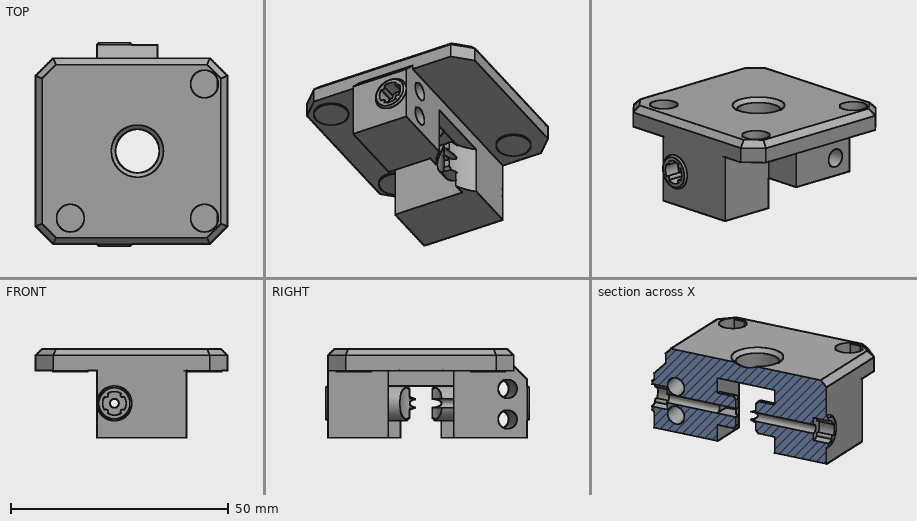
import cadquery as cq
import math

total_length = 46.9
total_height = 20.5

plate_width = 44.2
plate_depth = 42.8
plate_thickness = 4.95
plate_left = -23.45
corner_cut = 4.1
edge_chamfer = 1.5

center_hole_diameter = 10.0
countersink_diameter = 12.0
countersink_half_angle = 45.0

magnet_offset = 15.45
magnet_diameter = 6.4
magnet_depth = 3.0
magnet_flat_offset = 2.9
magnet_flat_start = 0.25
pad_diameter = 8.0
pad_height = 0.35

screw_projection = 0.5
block_left = -9.35
front_arm_right = 10.8
back_arm_right = 4.65
end_bulge = 0.55
end_bulge_run = 0.1
slope_foot_height = 13.5
slot_half_width = 7.55

pocket_half_chord = 8.75
pocket_height = 11.95
window_half_width = 4.65

screw_diameter = 8.0
screw_height = 7.95
screw_edge_inset = 4.05
head_chamfer = 0.4
tip_gap = 2.6
tip_chamfer = 0.7
bore_diameter = 2.0
nozzle_base_diameter = 3.0
nozzle_gap = 1.25
socket_diameter = 5.45
socket_depth = 4.0
socket_ridges = 4
ridge_radius = 0.5
first_ridge_angle = 45.0

cross_hole_diameter = 4.25
cross_hole_y = 18.0
cross_hole_heights = (4.25, 11.3)
cross_hole_tilt = 8.0

plate_bottom = total_height - plate_thickness
plate_front = -plate_depth / 2
plate_back = plate_depth / 2
plate_middle_x = plate_left + plate_width / 2
block_front = plate_front
block_back = total_length + plate_front - 2 * screw_projection
screw_x = block_left + screw_edge_inset
pocket_radius = (pocket_half_chord**2 + screw_edge_inset**2) / (2 * screw_edge_inset)
pocket_center_x = screw_x - pocket_radius
slot_left = pocket_center_x + math.sqrt(pocket_radius**2 - window_half_width**2)
cut_overrun = 0.45


def box(x_range, y_range, z_range):
    """Box between the given limits."""
    size = [high - low for low, high in (x_range, y_range, z_range)]
    corner = (x_range[0], y_range[0], z_range[0])
    return cq.Workplane("XY").box(*size, centered=False).translate(corner)


def upright_cylinder(x, y, diameter, z_low, z_high):
    """Cylinder along Z."""
    return cq.Workplane("XY", origin=(x, y, z_low)).circle(diameter / 2).extrude(z_high - z_low)


def screw_cylinder(diameter, y_start, y_end):
    """Cylinder along the common axis of the two screws."""
    plane = cq.Workplane("XZ", origin=(screw_x, y_start, screw_height))
    return plane.circle(diameter / 2).extrude(y_start - y_end)


def make_plate():
    """Square plate with cut corners and a chamfered upper rim."""
    plate = cq.Workplane("XY", origin=(plate_middle_x, 0, plate_bottom))
    plate = plate.rect(plate_width, plate_depth).extrude(plate_thickness)
    return plate.edges("|Z").chamfer(corner_cut).faces(">Z").chamfer(edge_chamfer)


def make_block():
    """Block with a wide front arm and a narrower back arm that reaches past the plate."""
    front_outline = [
        (block_left, block_front),
        (front_arm_right, block_front),
        (front_arm_right + end_bulge, block_front + end_bulge_run),
        (front_arm_right + end_bulge, 0),
        (block_left, 0),
    ]
    front_arm = cq.Workplane("XY").polyline(front_outline).close().extrude(plate_bottom)

    back_profile = [
        (0, 0),
        (block_back, 0),
        (block_back, slope_foot_height),
        (plate_back, slope_foot_height + block_back - plate_back),
        (plate_back, plate_bottom),
        (0, plate_bottom),
    ]
    back_arm = cq.Workplane("YZ", origin=(block_left, 0, 0)).polyline(back_profile).close()
    return front_arm.union(back_arm.extrude(back_arm_right - block_left))


def cut_slot(block):
    """Separate the two arms by a slot that opens towards +X."""
    slot = box(
        (slot_left, front_arm_right + end_bulge + cut_overrun),
        (-slot_half_width, slot_half_width),
        (-cut_overrun, plate_bottom),
    )
    return block.cut(slot)


def make_screw(end_y, tip_y):
    """Screw from a raised chamfered end face outside the block to a chamfered tip in the slot."""
    inward = math.copysign(1, tip_y - end_y)
    radius = screw_diameter / 2
    profile = [
        (0, end_y),
        (radius - head_chamfer, end_y),
        (radius, end_y + inward * screw_projection),
        (radius, tip_y - inward * tip_chamfer),
        (radius - tip_chamfer, tip_y),
        (0, tip_y),
    ]
    screw = cq.Workplane("XY").polyline(profile).close().revolve(360, (0, 0, 0), (0, 1, 0))
    return screw.translate((screw_x, 0, screw_height))


def make_socket(end_y, floor_y):
    """Round drive socket with ridges along its wall."""
    socket = screw_cylinder(socket_diameter, end_y, floor_y)
    for index in range(socket_ridges):
        angle = math.radians(first_ridge_angle + index * 360 / socket_ridges)
        ridge = screw_cylinder(2 * ridge_radius, end_y, floor_y).translate((
            socket_diameter / 2 * math.cos(angle),
            0,
            socket_diameter / 2 * math.sin(angle),
        ))
        socket = socket.cut(ridge)
    return socket


def make_nozzle():
    """Cone on the tip of the front screw that narrows to the bore."""
    length = tip_gap - nozzle_gap
    taper = math.degrees(math.atan((nozzle_base_diameter - bore_diameter) / 2 / length))
    base = cq.Workplane("XZ", origin=(screw_x, -tip_gap, screw_height))
    return base.circle(nozzle_base_diameter / 2).extrude(-length, taper=taper)


def make_side_pocket():
    """Arc-shaped pocket in the left face, open at the base."""
    return upright_cylinder(pocket_center_x, 0, 2 * pocket_radius, -cut_overrun, pocket_height)


def make_cross_hole(height):
    """Hole through the back arm, swung about Z from the X direction."""
    length = 2 * (back_arm_right - block_left)
    hole = cq.Workplane("YZ").circle(cross_hole_diameter / 2).extrude(length, both=True)
    hole = hole.rotate((0, 0, 0), (0, 0, 1), cross_hole_tilt)
    return hole.translate((block_left, cross_hole_y, height))


def make_center_hole():
    """Countersunk hole through the plate and everything below it."""
    hole = upright_cylinder(0, 0, center_hole_diameter, -cut_overrun, total_height)
    sink_width = (countersink_diameter - center_hole_diameter) / 2
    sink_depth = sink_width / math.tan(math.radians(countersink_half_angle))
    sink = cq.Workplane("XY", origin=(0, 0, total_height)).circle(countersink_diameter / 2)
    return hole.union(sink.extrude(-sink_depth, taper=countersink_half_angle))


def make_magnet_pocket(x, y, has_flat):
    """Blind round pocket; a flat trims its +X side below the mouth if asked for."""
    floor = total_height - magnet_depth
    pocket = upright_cylinder(x, y, magnet_diameter, floor, total_height)
    if has_flat:
        trim = box(
            (x + magnet_flat_offset, x + magnet_diameter),
            (y - magnet_diameter, y + magnet_diameter),
            (floor, total_height - magnet_flat_start),
        )
        pocket = pocket.cut(trim)
    return pocket


front_end = block_front - screw_projection
back_end = block_back + screw_projection

block = cut_slot(make_block())
block = block.union(make_screw(front_end, -tip_gap))
block = block.union(make_screw(back_end, tip_gap))
block = block.cut(make_socket(front_end, front_end + socket_depth))
block = block.cut(make_socket(back_end, back_end - socket_depth))

block = block.union(make_nozzle())
block = block.cut(make_side_pocket())

block = block.cut(screw_cylinder(bore_diameter, front_end, back_end))

breakout = box(
    (screw_x, screw_x + screw_diameter),
    (0, slot_half_width),
    (screw_height - bore_diameter / 2, screw_height + bore_diameter / 2),
)
block = block.cut(breakout)

for hole_height in cross_hole_heights:
    block = block.cut(make_cross_hole(hole_height))

result = make_plate().union(block)
magnet_sites = [
    (-magnet_offset, -magnet_offset, False),
    (magnet_offset, -magnet_offset, True),
    (magnet_offset, magnet_offset, True),
]
for site_x, site_y, has_flat in magnet_sites:
    pad = upright_cylinder(site_x, site_y, pad_diameter, plate_bottom - pad_height, plate_bottom)
    result = result.union(pad)
    result = result.cut(make_magnet_pocket(site_x, site_y, has_flat))

result = result.cut(make_center_hole())